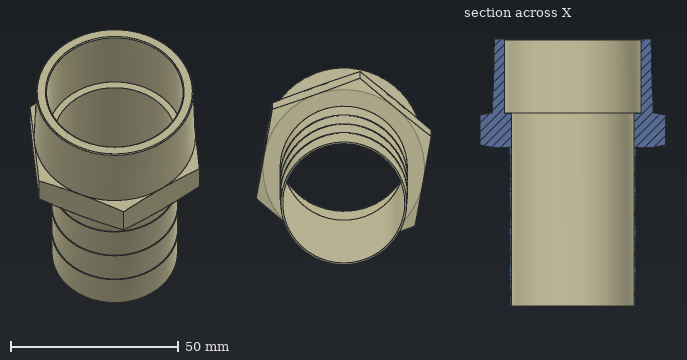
import cadquery as cq
import math

total_height = 80.0
hex_bottom = 47.45
hex_top = 58.0

across_flats = 48.25
flat_radius = across_flats / 2
corner_radius = flat_radius / math.cos(math.pi / 6)
corner_drop = 0.8

barb_count = 4
barb_height = hex_bottom / barb_count
barb_small_radius = 18.8
barb_large_radius = 19.05

socket_base_radius = flat_radius
socket_top_radius = 23.5
edge_chamfer = 0.3

bore_radius = 18.25
counterbore_radius = 20.4
counterbore_depth = 22.25


def revolve_profile(points):
    """Revolve a closed (radius, height) outline about Z."""
    return cq.Workplane("XZ").polyline(points).close().revolve(360, (0, 0, 0), (0, 1, 0))


def make_hose_tail():
    points = [(0, 0)]
    for index in range(barb_count):
        base = index * barb_height
        points.append((barb_small_radius, base))
        points.append((barb_large_radius, base + barb_height))
    points.append((0, hex_bottom))
    return revolve_profile(points)


def make_hex_collar():
    prism = (
        cq.Workplane("XY", origin=(0, 0, hex_bottom))
        .polygon(6, 2 * corner_radius)
        .extrude(hex_top - hex_bottom)
        .rotate((0, 0, 0), (0, 0, 1), 30)
    )
    bevel_envelope = revolve_profile([
        (0, hex_bottom),
        (flat_radius, hex_bottom),
        (corner_radius, hex_bottom + corner_drop),
        (corner_radius, hex_top - corner_drop),
        (flat_radius, hex_top),
        (0, hex_top),
    ])
    return prism.intersect(bevel_envelope)


def make_socket():
    return revolve_profile([
        (0, hex_top),
        (socket_base_radius, hex_top),
        (socket_top_radius, total_height - edge_chamfer),
        (socket_top_radius - edge_chamfer, total_height),
        (0, total_height),
    ])


def make_bore():
    counterbore_floor = total_height - counterbore_depth
    return revolve_profile([
        (0, 0),
        (bore_radius, 0),
        (bore_radius, counterbore_floor),
        (counterbore_radius, counterbore_floor),
        (counterbore_radius, total_height - edge_chamfer),
        (counterbore_radius + edge_chamfer, total_height),
        (0, total_height),
    ])


body = make_hose_tail().union(make_hex_collar()).union(make_socket())
result = body.cut(make_bore())